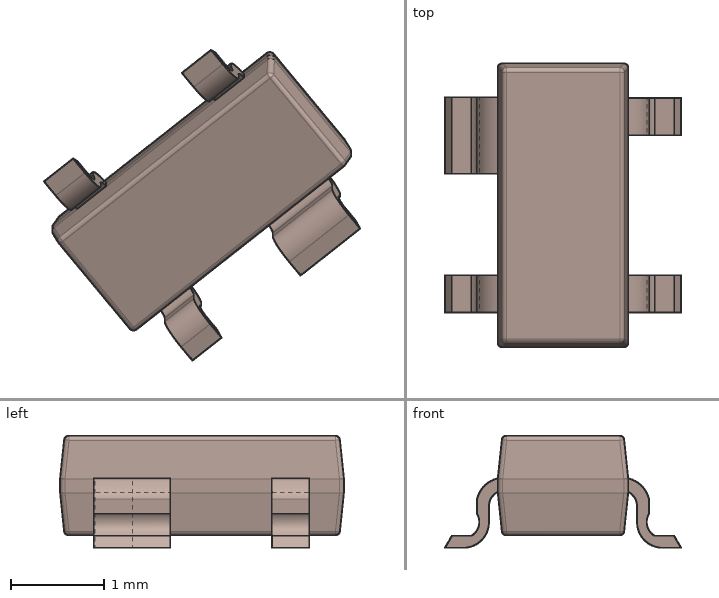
import cadquery as cq
import math

body_width = 1.398
body_length = 3.04
body_bottom = 0.135
body_top = 1.2
band_bottom = 0.593
band_top = 0.742
taper_angle = 6.0
edge_radius = 0.052

foot_tip = 1.265
foot_thickness = 0.13
foot_tip_slant = 0.075
shank_outer = 0.92
knee_centre_x = 0.625
knee_centre_z = 0.45
knee_outer_radius = 0.305
knee_inner_radius = 0.165
heel_outer_radius = 0.277
heel_inner_radius = 0.17
body_face = body_width / 2
shank_inner = knee_centre_x + knee_inner_radius
heel_centre_x = shank_inner + heel_outer_radius
heel_centre_z = heel_outer_radius

lead_width = 0.4
lead_offset = 0.95
wide_lead_width = 0.82
wide_lead_offset = 0.748


def make_body():
    """Package with drafted upper and lower halves and every outer edge except the band's rounded."""
    band = (
        cq.Workplane("XY", origin=(0, 0, band_bottom))
        .rect(body_width, body_length)
        .extrude(band_top - band_bottom)
    )
    upper = (
        cq.Workplane("XY", origin=(0, 0, band_top))
        .rect(body_width, body_length)
        .extrude(body_top - band_top, taper=taper_angle)
    )
    lower = (
        cq.Workplane("XY", origin=(0, 0, band_bottom))
        .rect(body_width, body_length)
        .extrude(body_bottom - band_bottom, taper=taper_angle)
    )
    block = band.union(upper).union(lower)
    corner_edges = block.edges("not #Z")
    rim_edges = block.faces("<Z or >Z").edges()
    return corner_edges.add(rim_edges).fillet(edge_radius)


def leg(radius, other_leg):
    """Distance along one axis to a circle of the given radius, at other_leg along the other axis."""
    return math.sqrt(radius**2 - other_leg**2)


def arc_middle(centre, radius, start, end):
    """Point halfway round the shorter arc from start to end."""
    toward_x = (start[0] + end[0]) / 2 - centre[0]
    toward_z = (start[1] + end[1]) / 2 - centre[1]
    reach = radius / math.hypot(toward_x, toward_z)
    return (centre[0] + toward_x * reach, centre[1] + toward_z * reach)


def make_lead(side, centre_y, width):
    """Gull-wing lead from the package face to its foot; side is +1 or -1 along X."""
    knee = (knee_centre_x, knee_centre_z)
    heel = (heel_centre_x, heel_centre_z)

    knee_top = (body_face, knee_centre_z + leg(knee_outer_radius, body_face - knee_centre_x))
    knee_end = (shank_outer, knee_centre_z + leg(knee_outer_radius, shank_outer - knee_centre_x))
    heel_start = (shank_outer, heel_centre_z + leg(heel_inner_radius, heel_centre_x - shank_outer))
    heel_end = (heel_centre_x - leg(heel_inner_radius, heel_centre_z - foot_thickness), foot_thickness)
    heel_bottom = (heel_centre_x, 0)
    heel_side = (shank_inner, heel_centre_z)
    knee_side = (shank_inner, knee_centre_z)
    knee_under = (body_face, knee_centre_z + leg(knee_inner_radius, body_face - knee_centre_x))

    profile = (
        cq.Workplane("XZ", origin=(0, width / 2, 0))
        .moveTo(*knee_top)
        .threePointArc(arc_middle(knee, knee_outer_radius, knee_top, knee_end), knee_end)
        .lineTo(*heel_start)
        .threePointArc(arc_middle(heel, heel_inner_radius, heel_start, heel_end), heel_end)
        .lineTo(foot_tip - foot_tip_slant, foot_thickness)
        .lineTo(foot_tip, 0)
        .lineTo(*heel_bottom)
        .threePointArc(arc_middle(heel, heel_outer_radius, heel_bottom, heel_side), heel_side)
        .lineTo(*knee_side)
        .threePointArc(arc_middle(knee, knee_inner_radius, knee_side, knee_under), knee_under)
        .close()
    )
    lead = profile.extrude(width)
    if side < 0:
        lead = lead.mirror("YZ")
    return lead.translate((0, centre_y, 0))


body = make_body()
wide_lead = make_lead(-1, wide_lead_offset, wide_lead_width)
lead_places = [(-1, -lead_offset), (1, -lead_offset), (1, lead_offset)]
leads = [make_lead(side, centre_y, lead_width) for side, centre_y in lead_places]

result = cq.Compound.makeCompound([body.val(), wide_lead.val(), *[lead.val() for lead in leads]])